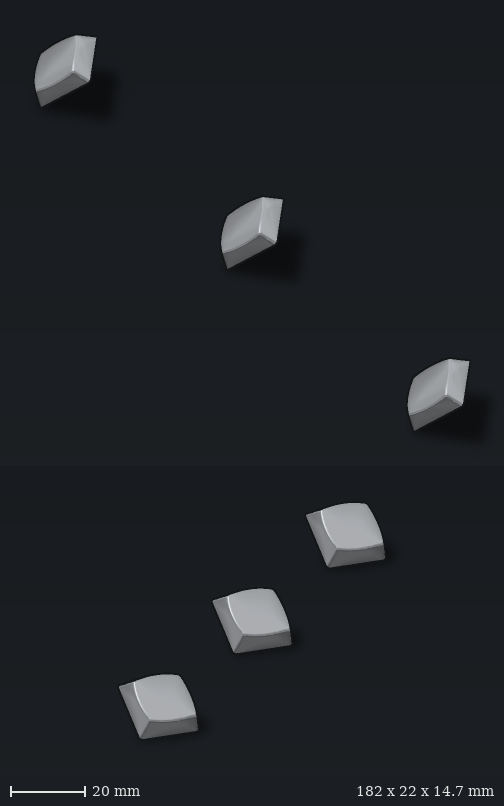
import cadquery as cq
import math

overall_length = 182.0
keycap_count = 3

base_side = 18.2

body_height = 5.5
left_inset = 1.3
right_inset = 0.5
front_inset = 1.3
back_inset = 1.5
side_bow = 1.3

flat_end = 3.0
fall_radius = 17.3

corner_fillet = 1.3
rim_fillet = 1.0

tilt_angle = 40.0
turn_angle = -45.0


def walls():
    """Block that runs from the straight-sided base to the bowed top outline."""
    half_side = base_side / 2
    left = -half_side + left_inset
    right = half_side - right_inset
    front = -half_side + front_inset
    back = half_side - back_inset
    middle_x = (left + right) / 2
    middle_y = (front + back) / 2
    front_left = (left + side_bow, front + side_bow)
    front_right = (right - side_bow, front + side_bow)
    back_right = (right - side_bow, back - side_bow)
    back_left = (left + side_bow, back - side_bow)
    block = (
        cq.Workplane("XY")
        .rect(base_side, base_side)
        .workplane(offset=body_height)
        .moveTo(*front_left)
        .threePointArc((middle_x, front), front_right)
        .threePointArc((right, middle_y), back_right)
        .threePointArc((middle_x, back), back_left)
        .threePointArc((left, middle_y), front_left)
        .close()
        .loft(ruled=True)
    )
    return block.edges("not (<Z or >Z)").fillet(corner_fillet)


def space_under_top():
    """Prism below the top surface, wider than the keycap on every side."""
    fall_angle = math.asin((base_side - flat_end) / fall_radius)

    def fall_point(angle):
        return (
            flat_end + fall_radius * math.sin(angle),
            body_height - fall_radius * (1 - math.cos(angle)),
        )

    return (
        cq.Workplane("XZ")
        .moveTo(-base_side, -body_height)
        .lineTo(-base_side, body_height)
        .lineTo(flat_end, body_height)
        .threePointArc(fall_point(fall_angle / 2), fall_point(fall_angle))
        .lineTo(base_side, -body_height)
        .close()
        .extrude(base_side, both=True)
    )


def round_rim(body):
    """Fillet the edge around the top, but not the line where its flat meets its arc."""
    rim_floor = 0.6 * body_height
    rim_zone = cq.selectors.BoxSelector(
        (-base_side, -base_side, rim_floor),
        (base_side, base_side, 2 * body_height),
    )
    line_across_top = cq.selectors.ParallelDirSelector(cq.Vector(0, 1, 0))
    return body.edges(rim_zone - line_across_top).fillet(rim_fillet)


def make_keycap():
    """One keycap standing tilted on its front base edge, which lies at Z = 0."""
    upright = round_rim(walls().intersect(space_under_top()))
    return (
        upright.translate((0, base_side / 2, 0))
        .rotate((0, 0, 0), (1, 0, 0), tilt_angle)
        .rotate((0, 0, 0), (0, 0, 1), turn_angle)
    )


keycap_width = make_keycap().val().BoundingBox().xlen
pitch = (overall_length - keycap_width) / (keycap_count - 1)
keycaps = []
for index in range(keycap_count):
    keycaps.append(make_keycap().translate((index * pitch, 0, 0)).val())

result = cq.Compound.makeCompound(keycaps)